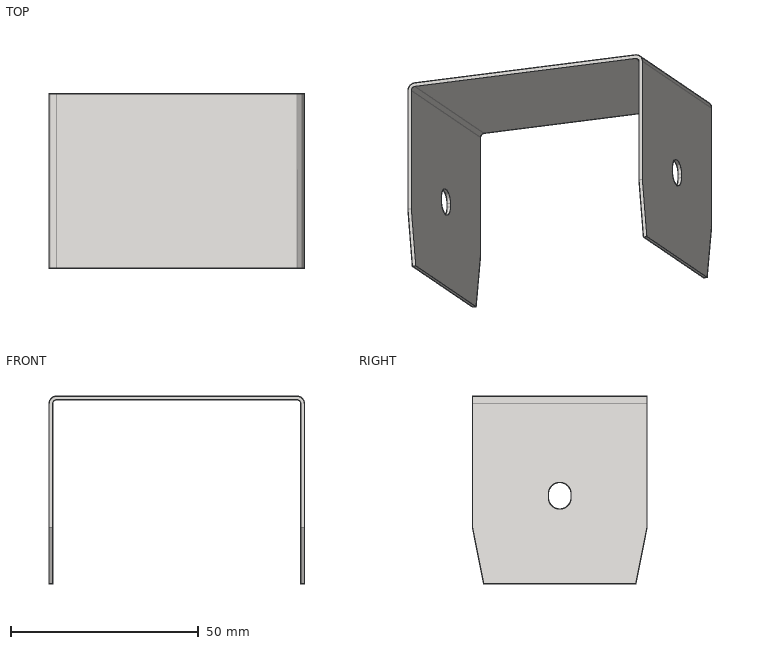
import cadquery as cq

length = 68.0
width = 46.5
height = 50.0

thickness = 1.0
inner_bend_radius = 1.0
outer_bend_radius = inner_bend_radius + thickness

taper_height = 15.0
taper_inset = 3.0

slot_width = 6.0
slot_height = 7.0
slot_center_z = 23.45


def rounded_block(block_length, block_height, bend_radius):
    """Block standing on Z = 0 with its two long top edges rounded."""
    return (
        cq.Workplane("XY")
        .box(block_length, width, block_height, centered=(True, True, False))
        .edges("|Y and >Z")
        .fillet(bend_radius)
    )


def bent_sheet():
    """Sheet bent into an inverted U: a top panel with a leg at each end."""
    outside = rounded_block(length, height, outer_bend_radius)
    inside = rounded_block(length - 2 * thickness, height - thickness, inner_bend_radius)
    return outside.cut(inside)


def side_profile():
    """Outline of a leg, narrowing to its foot, extruded over the full length."""
    half_width = width / 2
    half_foot = half_width - taper_inset
    return (
        cq.Workplane("YZ")
        .polyline([
            (-half_foot, 0),
            (half_foot, 0),
            (half_width, taper_height),
            (half_width, height),
            (-half_width, height),
            (-half_width, taper_height),
        ])
        .close()
        .extrude(length / 2, both=True)
    )


def leg_slots():
    """Upright slot that passes through both legs."""
    return (
        cq.Workplane("YZ")
        .center(0, slot_center_z)
        .slot2D(slot_height, slot_width, angle=90)
        .extrude(length / 2, both=True)
    )


result = bent_sheet().intersect(side_profile()).cut(leg_slots())